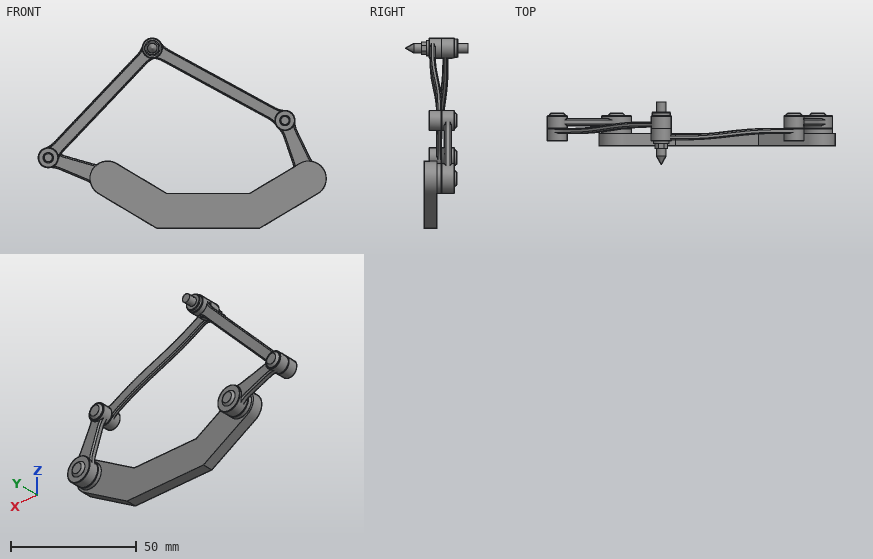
import cadquery as cq
import math


pivot_spacing = 80.0
crank_length = 25.0
strap_length = 60.0
left_crank_angle = 160.6
right_crank_angle = 112.3

plate_thickness = 5.0
plate_radius = 7.0
bend_half_spacing = 18.5
bend_drop = 12.8

seam_y = 7.0
lug_thickness = 5.0
lug_radius = 4.0
base_lug_radius = 6.0
rim_chamfer = 0.2
lug_back_y = seam_y + lug_thickness
lug_front_y = seam_y - lug_thickness

crank_web_thickness = 3.0
crank_half_width_elbow = 2.5
crank_half_width_base = 4.0
crank_edge_chamfer = 0.63

strap_thickness = 2.1
strap_half_width = 2.5
strap_offset = 2.5
strap_bend_start = 10.0
strap_bend_length = 15.0
strap_edge_chamfer = 0.52

blend_radius = 10.0
blend_tuck = 0.06

pin_radius = 2.1
pin_end_chamfer = 0.5
head_height = 1.0
head_base_radius = 3.4
head_top_radius = 2.4

pen_radius = 2.0
pen_tip_y = -7.5
pen_cone_y = -4.0
pen_back_y = 17.5

bushing_radius = 2.6
flange_radius = 3.7
flange_thickness = 1.5
flange_chamfer = 0.3
collar_radius = 3.1
collar_thickness = 1.0
nose_across_flats = 5.0
nose_length = 2.0
nose_sides = 8


def disc(radius, y_start, y_end, x=0):
    """Cylinder along Y centred on the X axis at x."""
    solid = cq.Solid.makeCylinder(radius, y_end - y_start, cq.Vector(x, y_start, 0), cq.Vector(0, 1, 0))
    return cq.Workplane(solid)


def turned(profile):
    """Revolve a closed outline of (radius, y) points about the Y axis."""
    return cq.Workplane("XY").polyline(profile).close().revolve(360, (0, 0), (0, 1))


def slab(outline, y_start, y_end):
    """Extrude an outline drawn on the XZ plane between two Y levels."""
    return outline.extrude(y_start - y_end).translate((0, y_start, 0))


def place(body, pivot, angle):
    """Turn a body built along +X to the given angle and move it to its pivot."""
    return body.rotate((0, 0, 0), (0, 1, 0), -angle).translate((pivot[0], 0, pivot[1]))


def polar(start, length, angle):
    """Point at a distance and angle from a start point, in the XZ plane."""
    turn = math.radians(angle)
    return start[0] + length * math.cos(turn), start[1] + length * math.sin(turn)


left_pivot = (-pivot_spacing / 2, 0)
right_pivot = (pivot_spacing / 2, 0)
left_elbow = polar(left_pivot, crank_length, left_crank_angle)
right_elbow = polar(right_pivot, crank_length, right_crank_angle)

elbow_span = math.dist(left_elbow, right_elbow)
elbow_slope = math.degrees(math.atan2(right_elbow[1] - left_elbow[1], right_elbow[0] - left_elbow[0]))
apex_angle = math.degrees(math.acos(elbow_span / 2 / strap_length))
left_strap_angle = elbow_slope + apex_angle
right_strap_angle = elbow_slope + 180 - apex_angle
pen_joint = polar(left_elbow, strap_length, left_strap_angle)


def pin_head():
    """Tapered head that retains a pin behind the lugs."""
    back_y = lug_back_y + head_height
    return turned([(0, lug_back_y), (head_base_radius, lug_back_y), (head_top_radius, back_y), (0, back_y)])


def make_base():
    """Bent plate with a boss and a headed post at each end for the cranks."""
    half = pivot_spacing / 2
    slope = math.atan2(bend_drop, half - bend_half_spacing)
    mitre = plate_radius * math.tan(slope / 2)
    across_x = plate_radius * math.sin(slope)
    across_z = plate_radius * math.cos(slope)
    inner_bend = (bend_half_spacing - mitre, plate_radius - bend_drop)
    outer_bend = (bend_half_spacing + mitre, -plate_radius - bend_drop)
    end_top = (half - across_x, across_z)
    end_tip = (half + across_z, across_x)
    end_bottom = (half + across_x, -across_z)

    def mirrored(point):
        return -point[0], point[1]

    outline = (
        cq.Workplane("XZ")
        .moveTo(*inner_bend)
        .lineTo(*end_top)
        .threePointArc(end_tip, end_bottom)
        .lineTo(*outer_bend)
        .lineTo(*mirrored(outer_bend))
        .lineTo(*mirrored(end_bottom))
        .threePointArc(mirrored(end_tip), mirrored(end_top))
        .lineTo(*mirrored(inner_bend))
        .close()
    )
    base = slab(outline, 0, plate_thickness)
    boss = disc(base_lug_radius, plate_thickness, seam_y).faces(">Y").chamfer(rim_chamfer)
    post = boss.union(disc(pin_radius, plate_thickness, lug_back_y)).union(pin_head())
    for pivot in (left_pivot, right_pivot):
        base = base.union(place(post, pivot, 0))
    return base


def web_outline(length, start_radius, end_radius, start_half_width, end_half_width):
    """Web between two lug centres, its sides blending tangentially into the lug circles."""
    taper = math.atan2(end_half_width - start_half_width, length)

    def blend(lug_x, radius, half_width, toward):
        """Start, middle and end of the upper blend arc, going from the lug to the straight side."""
        lug_circle = radius - blend_tuck
        along = (toward * math.cos(taper), toward * math.sin(taper))
        normal = (-math.sin(taper), math.cos(taper))
        side_distance = half_width * math.cos(taper)
        centre_height = side_distance + blend_radius
        centre_reach = math.sqrt((lug_circle + blend_radius) ** 2 - centre_height ** 2)
        centre = [centre_reach * a + centre_height * n for a, n in zip(along, normal)]
        on_lug = [c * lug_circle / (lug_circle + blend_radius) for c in centre]
        on_side = [c - blend_radius * n for c, n in zip(centre, normal)]
        chord_middle = [(p + q) / 2 for p, q in zip(on_lug, on_side)]
        stretch = blend_radius / math.dist(centre, chord_middle)
        arc_middle = [c + stretch * (m - c) for c, m in zip(centre, chord_middle)]
        return [(lug_x + x, z) for x, z in (on_lug, arc_middle, on_side)]

    def mirrored(points):
        return [(x, -z) for x, z in points]

    start = blend(0, start_radius, start_half_width, 1)
    end = blend(length, end_radius, end_half_width, -1)
    start_low = mirrored(start)
    end_low = mirrored(end)
    return (
        cq.Workplane("XZ")
        .moveTo(0, 0)
        .lineTo(*start[0])
        .threePointArc(start[1], start[2])
        .lineTo(*end[2])
        .threePointArc(end[1], end[0])
        .lineTo(length, 0)
        .lineTo(*end_low[0])
        .threePointArc(end_low[1], end_low[2])
        .lineTo(*start_low[2])
        .threePointArc(start_low[1], start_low[0])
        .close()
    )


def between_lugs(length, start_radius, end_radius):
    """Selects edges centred in the free span of a web, leaving out those inside its lugs."""
    return cq.selectors.BoxSelector(
        (start_radius / 2, lug_front_y, -start_radius),
        (length - end_radius / 2, lug_back_y, start_radius),
    )


def make_crank():
    """Crank along +X from the base pivot to the elbow."""
    middle_y = seam_y + lug_thickness / 2
    outline = web_outline(
        crank_length, base_lug_radius, lug_radius, crank_half_width_base, crank_half_width_elbow
    )
    web = slab(outline, middle_y - crank_web_thickness / 2, middle_y + crank_web_thickness / 2)
    free_span = between_lugs(crank_length, base_lug_radius, lug_radius)
    crank = web.edges("not |Y").edges(free_span).chamfer(crank_edge_chamfer)
    for x, radius in ((0, base_lug_radius), (crank_length, lug_radius)):
        crank = crank.union(disc(radius, seam_y, lug_back_y, x).faces("<Y or >Y").chamfer(rim_chamfer))
    for x in (0, crank_length):
        crank = crank.cut(disc(pin_radius, seam_y, lug_back_y, x))
    return crank


def strap_side(rise):
    """Strap thickness seen along its width: two opposite bends joined by a slanted straight."""
    bend_1_start = strap_bend_start
    bend_1_end = bend_1_start + strap_bend_length
    bend_2_end = strap_length - strap_bend_start
    bend_2_start = bend_2_end - strap_bend_length
    half_bend = strap_bend_length / 2
    slope = rise / (bend_2_start - bend_1_start)
    bend_rise = slope * half_bend
    mid_bend_rise = bend_rise / 4
    face_points = [
        (bend_1_start, 0),
        (bend_1_start + half_bend, mid_bend_rise),
        (bend_1_end, bend_rise),
        (bend_2_start, rise - bend_rise),
        (bend_2_start + half_bend, rise - mid_bend_rise),
        (bend_2_end, rise),
    ]
    elbow_front_y = seam_y - strap_thickness
    front = [(x, elbow_front_y + y) for x, y in face_points]
    back = [(x, seam_y + y) for x, y in face_points]
    return (
        cq.Workplane("XY")
        .moveTo(0, elbow_front_y)
        .lineTo(*front[0])
        .threePointArc(front[1], front[2])
        .lineTo(*front[3])
        .threePointArc(front[4], front[5])
        .lineTo(strap_length, elbow_front_y + rise)
        .lineTo(strap_length, seam_y + rise)
        .lineTo(*back[5])
        .threePointArc(back[4], back[3])
        .lineTo(*back[2])
        .threePointArc(back[1], back[0])
        .lineTo(0, seam_y)
        .close()
        .extrude(lug_radius, both=True)
    )


def make_strap(rise, pen_lug_front_y, pen_lug_rim):
    """Strap along +X from the elbow to the pen joint; rise is its shift along Y between them."""
    outline = web_outline(strap_length, lug_radius, lug_radius, strap_half_width, strap_half_width)
    web = slab(outline, lug_front_y, lug_back_y).intersect(strap_side(rise))
    free_span = between_lugs(strap_length, lug_radius, lug_radius)
    strap = web.edges("not |Z").edges("not |Y").edges(free_span).chamfer(strap_edge_chamfer)
    elbow_lug = disc(lug_radius, lug_front_y, seam_y).faces("<Y or >Y").chamfer(rim_chamfer)
    pen_lug = disc(lug_radius, pen_lug_front_y, pen_lug_front_y + lug_thickness, strap_length)
    pen_lug = pen_lug.faces(pen_lug_rim).chamfer(rim_chamfer)
    strap = strap.union(elbow_lug).union(pen_lug)
    strap = strap.cut(disc(pin_radius, lug_front_y, seam_y))
    return strap.cut(disc(bushing_radius, lug_front_y, lug_back_y, strap_length))


def make_elbow_pin():
    """Pin through a crank and a strap, flush with the strap lug in front."""
    shaft = disc(pin_radius, lug_front_y, lug_back_y).faces("<Y").chamfer(pin_end_chamfer)
    return shaft.union(pin_head())


def make_bushing():
    """Sleeve holding both straps between a back flange and a collar with an octagonal nose."""
    collar_front_y = lug_front_y - collar_thickness
    flange_back_y = lug_back_y + flange_thickness
    flange = disc(flange_radius, lug_back_y, flange_back_y).faces(">Y").chamfer(flange_chamfer)
    body = disc(bushing_radius, lug_front_y, lug_back_y)
    collar = disc(collar_radius, collar_front_y, lug_front_y)
    nose_outline = cq.Workplane("XZ").polygon(nose_sides, nose_across_flats, circumscribed=True)
    nose = slab(nose_outline, collar_front_y - nose_length, collar_front_y)
    bushing = body.union(flange).union(collar).union(nose)
    return bushing.cut(disc(pen_radius, pen_tip_y, pen_back_y))


def make_pen():
    """Round pen with a conical tip at the front."""
    return turned([(0, pen_tip_y), (pen_radius, pen_cone_y), (pen_radius, pen_back_y), (0, pen_back_y)])


base = make_base()
cranks = [
    place(make_crank(), left_pivot, left_crank_angle),
    place(make_crank(), right_pivot, right_crank_angle),
]
left_strap = place(make_strap(strap_offset, seam_y, ">Y"), left_elbow, left_strap_angle)
right_strap = place(make_strap(-strap_offset, lug_front_y, "<Y"), right_elbow, right_strap_angle)
elbow_pins = [place(make_elbow_pin(), elbow, 0) for elbow in (left_elbow, right_elbow)]
bushing = place(make_bushing(), pen_joint, 0)
pen = place(make_pen(), pen_joint, 0)

result = cq.Compound.makeCompound([
    base.val(),
    *[crank.val() for crank in cranks],
    left_strap.val(),
    right_strap.val(),
    *[pin.val() for pin in elbow_pins],
    bushing.val(),
    pen.val(),
])